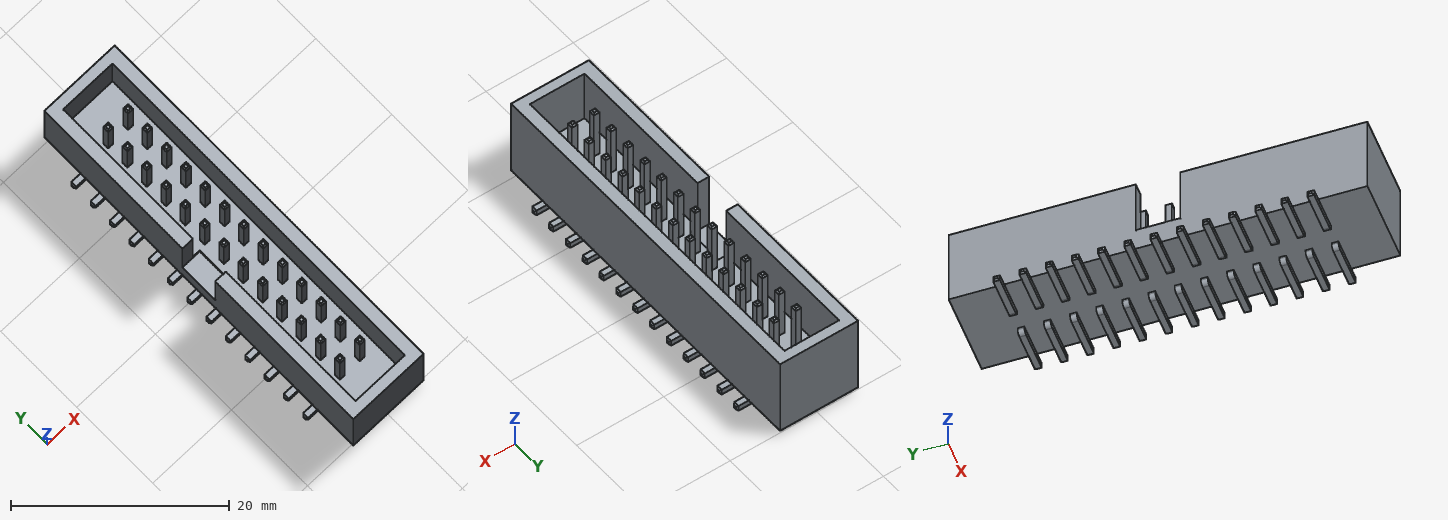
import cadquery as cq

total_width = 11.6
length = 40.65
total_height = 9.65

rows = 13
row_span = 30.5
row_pitch = row_span / (rows - 1)
column_pitch = 2.5
wire = 0.65
tip_chamfer = 0.15
bend_radius = 0.5
pin_recess = 0.33

housing_width = 8.95
housing_bottom = wire
housing_height = total_height - wire
side_wall = 1.35
end_wall = 1.1
cavity_depth = 6.0

notch_width = 4.3
notch_reach = 2.2
notch_depth = 6.4


def top_cut(x_min, size_x, size_y, depth):
    """Box reaching down from the housing rim, centred along Y."""
    return (
        cq.Workplane("XY", origin=(x_min, 0, total_height - depth))
        .box(size_x, size_y, depth, centered=(False, True, False))
    )


def make_housing():
    body = (
        cq.Workplane("XY", origin=(0, 0, housing_bottom))
        .box(housing_width, length, housing_height, centered=(True, True, False))
    )
    outer_x = -housing_width / 2
    cavity = top_cut(
        outer_x + side_wall, housing_width - 2 * side_wall, length - 2 * end_wall, cavity_depth
    )
    notch = top_cut(outer_x, notch_reach, notch_width, notch_depth)
    return body.cut(cavity).cut(notch)


def make_contact():
    """Bent contact of the +X column: upright pin with a solder tail along +X."""
    pin_x = column_pitch / 2
    inner_x = pin_x - wire / 2
    pin_top = total_height - pin_recess
    pin = (
        cq.Workplane("XY", origin=(pin_x, 0, 0))
        .box(wire, wire, pin_top, centered=(True, True, False))
        .faces(">Z").chamfer(tip_chamfer)
    )
    tail = (
        cq.Workplane("XY", origin=(inner_x, 0, 0))
        .box(total_width / 2 - inner_x, wire, wire, centered=(False, True, False))
        .faces(">X").chamfer(tip_chamfer)
    )
    return pin.union(tail).edges("<X and <Z").fillet(bend_radius)


right_contact = make_contact()
left_contact = right_contact.mirror("YZ")

result = make_housing()
for row in range(rows):
    y = row * row_pitch - row_span / 2
    for contact in (left_contact, right_contact):
        result = result.union(contact.translate((0, y, 0)))